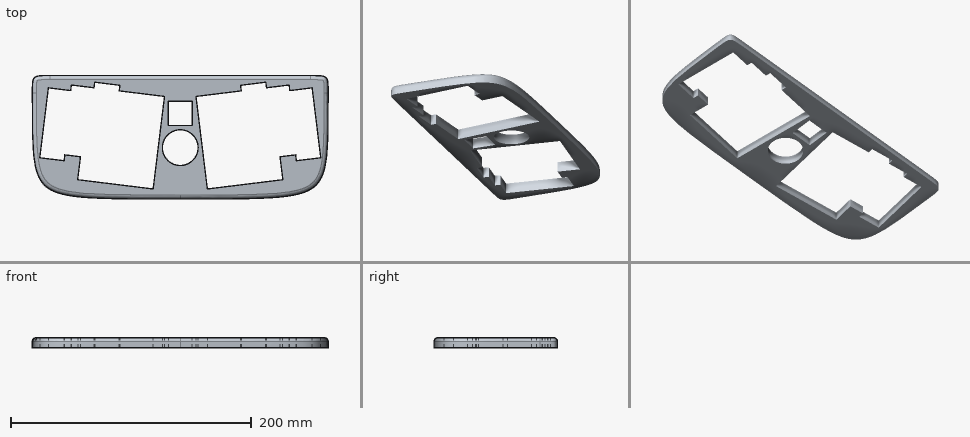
import cadquery as cq

LENGTH = 246.0
WIDTH = 102.8
THICKNESS = 8.5
EDGE_ROUND = 3.5
REAR_CORNER_REACH = 14.8

SIDE_HANDLE_Y = -35.7
FRONT_HANDLE_X = 102.5

KEY_TILT = 7.0
OPENING_INNER = 17.2
OPENING_OUTER = 113.7
OPENING_FRONT = -45.3
OPENING_BACK = 32.0
COLUMN_STAGGER = 4.7
KEY_PITCH = 19.0
TALL_COLUMN_INNER = 55.0
TALL_COLUMN_WIDTH = 21.0
TAB_INNER = 80.2
TAB_OUTER = 93.5
TAB_BACK = -26.0
OUTER_COLUMN_FRONT = -31.0

WINDOW_SIDE = 20.0
WINDOW_Y = 20.0
KNOB_DIAMETER = 29.5
KNOB_Y = -8.5


def make_plate():
    half_length = LENGTH / 2
    half_width = WIDTH / 2
    rear_corner = (half_length, half_width)
    front_corner = (half_length, -half_width)
    rear_end = (half_length - REAR_CORNER_REACH, half_width)
    side_point = (half_length, half_width - REAR_CORNER_REACH)
    side_handle = (half_length, SIDE_HANDLE_Y)
    front_handle = (FRONT_HANDLE_X, -half_width)
    front_middle = (0, -half_width)
    plate = (
        cq.Workplane("XY")
        .moveTo(0, half_width)
        .lineTo(*rear_end)
        .bezier([rear_end, rear_corner, rear_corner, side_point])
        .bezier([side_point, side_handle, front_corner, front_handle, front_middle])
        .mirrorY()
        .extrude(THICKNESS)
    )
    return plate.faces(">Z").edges().fillet(EDGE_ROUND)


def make_right_opening():
    tall_column_outer = TALL_COLUMN_INNER + TALL_COLUMN_WIDTH
    middle_column_outer = tall_column_outer + KEY_PITCH
    outline = [
        (OPENING_INNER, OPENING_FRONT),
        (TAB_INNER, OPENING_FRONT),
        (TAB_INNER, TAB_BACK),
        (TAB_OUTER, TAB_BACK),
        (TAB_OUTER, OUTER_COLUMN_FRONT),
        (OPENING_OUTER, OUTER_COLUMN_FRONT),
        (OPENING_OUTER, OPENING_BACK - COLUMN_STAGGER),
        (middle_column_outer, OPENING_BACK - COLUMN_STAGGER),
        (middle_column_outer, OPENING_BACK),
        (tall_column_outer, OPENING_BACK),
        (tall_column_outer, OPENING_BACK + COLUMN_STAGGER),
        (TALL_COLUMN_INNER, OPENING_BACK + COLUMN_STAGGER),
        (TALL_COLUMN_INNER, OPENING_BACK),
        (OPENING_INNER, OPENING_BACK),
    ]
    opening = cq.Workplane("XY").polyline(outline).close().extrude(THICKNESS)
    return opening.rotate((0, 0, 0), (0, 0, 1), KEY_TILT)


def make_window():
    return cq.Workplane("XY").center(0, WINDOW_Y).rect(WINDOW_SIDE, WINDOW_SIDE).extrude(THICKNESS)


def make_knob_hole():
    return cq.Workplane("XY").center(0, KNOB_Y).circle(KNOB_DIAMETER / 2).extrude(THICKNESS)


right_opening = make_right_opening()
left_opening = right_opening.mirror("YZ")
result = make_plate().cut(right_opening).cut(left_opening).cut(make_window()).cut(make_knob_hole())